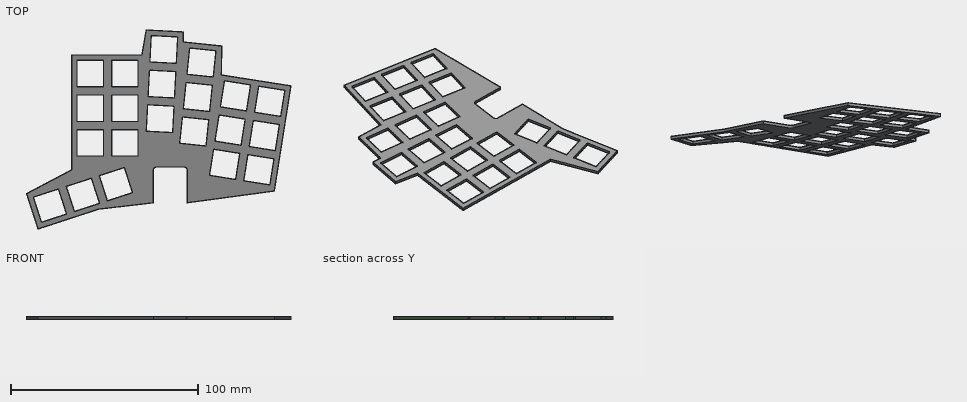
import cadquery as cq
import math

length = 141.2
width = 106.3
thickness = 1.5

key_size = 14.0
key_pitch = 18.5
border = 3.0
half_cell = key_size / 2 + border
rows = 3

middle_tilt = -3.0
ring_tilt = -6.0
outer_tilt = -9.0
thumb_tilt = 18.0

notch_left = 67.8
notch_width = 18.0
notch_right = notch_left + notch_width
notch_top = 33.0
notch_mouth = 14.0
notch_radius = 1.5


def shifted(origin, tilt, along, up):
    """Point offset from origin, measured in axes turned by the tilt."""
    angle = math.radians(tilt)
    x = origin[0] + along * math.cos(angle) - up * math.sin(angle)
    y = origin[1] + along * math.sin(angle) + up * math.cos(angle)
    return (x, y)


def cell_reach(tilt):
    """Distance from a key centre to the farthest side of its bordered, tilted cell."""
    angle = math.radians(abs(tilt))
    return half_cell * (math.cos(angle) + math.sin(angle))


def cell_corner(key, tilt, side, end):
    """Corner of the bordered cell; side and end are -1 or +1."""
    return shifted(key, tilt, side * half_cell, end * half_cell)


def key_grid(first_key, tilt, columns, row_count):
    """Centres of a tilted grid, running right and up from its first key."""
    return [
        shifted(first_key, tilt, column * key_pitch, row * key_pitch)
        for column in range(columns)
        for row in range(row_count)
    ]


def cut_keys(plate, first_key, tilt, columns, row_count):
    """Cut a tilted grid of square openings through the plate."""
    for x, y in key_grid(first_key, tilt, columns, row_count):
        opening = (
            cq.Workplane("XY")
            .transformed(offset=(x, y, 0), rotate=(0, 0, tilt))
            .rect(key_size, key_size)
            .extrude(thickness)
        )
        plate = plate.cut(opening)
    return plate


column_rise = (rows - 1) * key_pitch
straight_first = (34.0, 46.0)
straight_top = shifted(straight_first, 0, 0, column_rise)
middle_top = (73.3, width - cell_reach(middle_tilt))
middle_first = shifted(middle_top, middle_tilt, 0, -column_rise)
ring_first = (89.5, 52.1)
ring_top = shifted(ring_first, ring_tilt, 0, column_rise)
outer_top_right = (length - cell_reach(outer_tilt), 68.2)
outer_bottom_right = shifted(outer_top_right, outer_tilt, 0, -column_rise)
outer_first = shifted(outer_bottom_right, outer_tilt, -key_pitch, 0)
thumb_first = (cell_reach(thumb_tilt), cell_reach(thumb_tilt))

middle_right_corner = cell_corner(middle_top, middle_tilt, 1, 1)
ring_left_corner = cell_corner(ring_top, ring_tilt, -1, 1)
step_x = middle_right_corner[0]
step_y = ring_left_corner[1] + (step_x - ring_left_corner[0]) * math.tan(math.radians(ring_tilt))

middle_join = (61.5, straight_top[1] + half_cell)
outer_join = (104.0, 82.3)
thumb_front_join = (38.5, 10.6)
thumb_back_join = (straight_first[0] - half_cell, 31.6)

outline = [
    cell_corner(straight_top, 0, -1, 1),
    middle_join,
    cell_corner(middle_top, middle_tilt, -1, 1),
    middle_right_corner,
    (step_x, step_y),
    cell_corner(ring_top, ring_tilt, 1, 1),
    outer_join,
    cell_corner(outer_top_right, outer_tilt, 1, 1),
    cell_corner(outer_bottom_right, outer_tilt, 1, -1),
    (notch_right, notch_mouth),
    (notch_right, notch_top),
    (notch_left, notch_top),
    (notch_left, notch_mouth),
    thumb_front_join,
    cell_corner(thumb_first, thumb_tilt, -1, -1),
    cell_corner(thumb_first, thumb_tilt, -1, 1),
    thumb_back_join,
]
plate = cq.Workplane("XY").polyline(outline).close().extrude(thickness)

notch_corners = cq.selectors.BoxSelector(
    (notch_left - notch_radius, notch_top - notch_radius, 0),
    (notch_right + notch_radius, notch_top + notch_radius, thickness),
)
plate = plate.edges("|Z").edges(notch_corners).fillet(notch_radius)

plate = cut_keys(plate, straight_first, 0, 2, rows)
plate = cut_keys(plate, middle_first, middle_tilt, 1, rows)
plate = cut_keys(plate, ring_first, ring_tilt, 1, rows)
plate = cut_keys(plate, outer_first, outer_tilt, 2, rows)
plate = cut_keys(plate, thumb_first, thumb_tilt, 3, 1)

result = plate